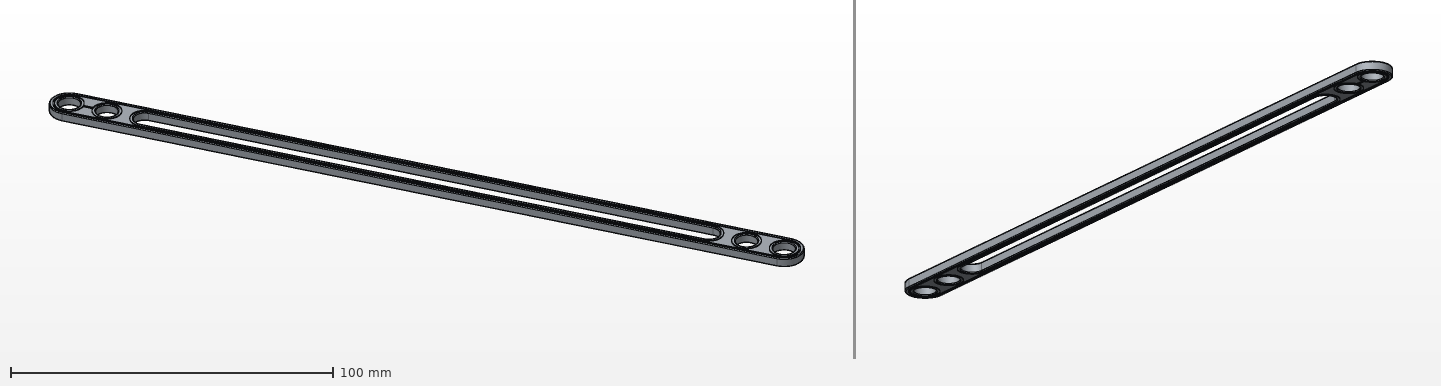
import cadquery as cq
length = 250.0
width = 12.5
thickness = width / 4
pitch = width
hole_diameter = 7.0
wall = 1.12
edge_chamfer = 0.3
pocket_depth = 0.2
rib_width = 0.5

half_thickness = thickness / 2
collar_diameter = hole_diameter + 2 * wall
pocket_width = width - 2 * wall

end_hole_x = length / 2 - width / 2
inner_hole_x = end_hole_x - pitch
slot_end_x = inner_hole_x - pitch
hole_points = [(side * x, 0) for side in (-1, 1) for x in (inner_hole_x, end_hole_x)]


def round_ended_bar(end_centre_x, bar_width, height):
    """Bar standing on Z = 0 whose end arcs are centred at X = +/- end_centre_x."""
    return cq.Workplane("XY").slot2D(2 * end_centre_x + bar_width, bar_width).extrude(height)


def opening_shapes(opening_width, height):
    """Solids of one width at the four round holes and along the central slot."""
    posts = cq.Workplane("XY").pushPoints(hole_points).circle(opening_width / 2).extrude(height)
    return posts.union(round_ended_bar(slot_end_x, opening_width, height))


def make_plain_half():
    """Upper half of the beam with its openings, all upper edges chamfered."""
    bar = round_ended_bar(end_hole_x, width, half_thickness)
    pierced = bar.cut(opening_shapes(hole_diameter, half_thickness))
    return pierced.faces(">Z").edges().chamfer(edge_chamfer)


def make_pocket():
    """Shallow recess inside the rim that leaves a collar around each opening."""
    recess = round_ended_bar(end_hole_x, pocket_width, pocket_depth)
    recess = recess.cut(opening_shapes(collar_diameter, pocket_depth))
    return recess.translate((0, 0, half_thickness - pocket_depth))


def make_rib():
    """Thin rib joining the two collars at the -X end, flush with their tops."""
    rib_length = pitch - collar_diameter + wall / 2
    rib = cq.Workplane("XY").box(rib_length, rib_width, half_thickness, centered=(True, True, False))
    return rib.translate((-(inner_hole_x + end_hole_x) / 2, 0, 0))


upper_half = make_plain_half().cut(make_pocket()).union(make_rib())
result = upper_half.union(upper_half.mirror("XY"))